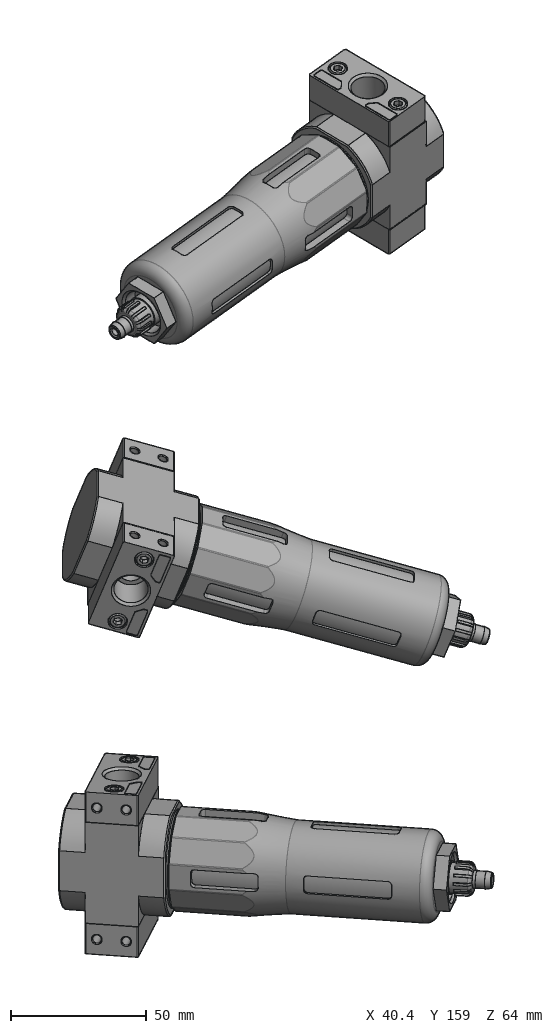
import cadquery as cq
import math


housing_size = 40.0
housing_corner_diameter = 43.0
housing_edge_chamfer = 0.5
bore_diameter = 9.0
collar_diameter = 36.8
collar_length = 0.6
neck_diameter = 34.2
neck_length = 1.3

plate_width = 20.0
plate_thickness = 12.0
plate_length = 40.0
plate_shift = -0.4
plate_edge_chamfer = 0.4
port_diameter = 12.6
port_rim_diameter = 14.5
port_rim_depth = 0.95
mount_hole_diameter = 3.24
mount_hole_rim_diameter = 4.0
mount_hole_depth = 8.0
mount_hole_spacing = 11.0
drill_point_angle = 118.0

label_depth = 0.3
label_inner_x = 6.7
label_slant_top_x = 8.9
label_outer_x = 19.0
label_top_y = -4.6
label_slant_end_y = -7.3
label_bottom_y = -9.0
label_corner_radius = 0.6

screw_spacing = 30.0
screw_head_diameter = 6.5
screw_head_height = 4.0
screw_head_chamfer = 0.5
screw_shank_diameter = 4.0
screw_shank_length = 16.0
screw_socket_width = 3.0
screw_socket_depth = 2.0
counterbore_diameter = 7.1

facet_count = 12
facet_width_across = 37.7
guard_corner_diameter = 38.9
guard_diameter = 34.8
guard_wall = 1.1
guard_top_y = -housing_size / 2 - neck_length
taper_start_y = -48.8
taper_end_y = -64.7
taper_sag = 0.15
guard_bottom_y = -119.1
guard_bottom_radius = 4.2
hex_width = 22.0
hex_height = 5.0
drain_opening_diameter = 17.4
drain_opening_chamfer = 0.9
window_width = 7.0
window_corner_radius = 1.5
upper_window = (-29.3, -54.6)
lower_window = (-71.4, -104.4)
window_count = 4

boss_diameter = 12.6
boss_below_hex = 0.5

knob_core_diameter = 11.6
knob_end_diameter = 9.0
rib_diameter = 13.0
rib_width = 1.0
rib_count = 12
rib_start_y = -125.4
knob_end_y = -132.0
rib_end_radius = 2.2
spigot_collar_diameter = 6.8
spigot_diameter = 6.5
spigot_collar_end_y = -133.1
barb_diameter = 6.8
barb_start_y = -136.6
barb_tip_diameter = 5.8
spigot_end_y = -139.0
barb_tip_chamfer = 0.3
spigot_hole_diameter = 3.0
spigot_hole_rim_diameter = 4.0
spigot_hole_depth = 5.0

half_housing = housing_size / 2
plate_top_z = half_housing + plate_thickness
screw_seat_z = plate_top_z - screw_head_height
screw_end_z = screw_seat_z - screw_shank_length
hex_face_y = guard_bottom_y - hex_height
bowl_bottom_y = guard_bottom_y + guard_wall
bowl_diameter = guard_diameter - 2 * guard_wall
boss_face_y = hex_face_y + boss_below_hex


def y_cylinder(diameter, start_y, end_y):
    """Cylinder on the Y axis from start_y toward -Y to end_y."""
    return cq.Workplane("XZ", origin=(0, start_y, 0)).circle(diameter / 2).extrude(start_y - end_y)


def z_cylinder(diameter, bottom_z, top_z, x=0.0):
    """Upright cylinder centred on y = 0."""
    return cq.Workplane("XY", origin=(x, 0, bottom_z)).circle(diameter / 2).extrude(top_z - bottom_z)


def y_polygon(sides, width, start_y, end_y, turn=0.0):
    """Regular prism on the Y axis, given its width across flats."""
    corner_diameter = width / math.cos(math.pi / sides)
    prism = cq.Workplane("XZ", origin=(0, start_y, 0)).polygon(sides, corner_diameter)
    return prism.extrude(start_y - end_y).rotate((0, 0, 0), (0, 1, 0), turn)


def mirrored_pair(body):
    """The body and its copy on the other side of the XY plane."""
    return [body.val(), body.mirror("XY").val()]


def make_housing():
    body = cq.Workplane("XY").box(housing_size, housing_size, housing_size)
    body = body.intersect(y_cylinder(housing_corner_diameter, half_housing, -half_housing))
    body = body.faces("<Y or >Y").edges().chamfer(housing_edge_chamfer)
    body = body.union(cq.Workplane("XY").box(housing_size, plate_width, housing_size))
    body = body.union(y_cylinder(collar_diameter, -half_housing, -half_housing - collar_length))
    body = body.union(y_cylinder(neck_diameter, -half_housing, guard_top_y))
    body = body.cut(z_cylinder(bore_diameter, -half_housing, half_housing))
    for x in (-screw_spacing / 2, screw_spacing / 2):
        body = body.cut(z_cylinder(screw_shank_diameter, screw_end_z, half_housing, x))
        body = body.cut(z_cylinder(screw_shank_diameter, -half_housing, -screw_end_z, x))
    return body


def make_mount_hole(y):
    """Blind drilled hole with a countersunk rim, entering from the -X end of the plate."""
    radius = mount_hole_diameter / 2
    rim_radius = mount_hole_rim_diameter / 2
    point_length = radius / math.tan(math.radians(drill_point_angle / 2))
    profile = [
        (0, 0),
        (0, rim_radius),
        (rim_radius - radius, radius),
        (mount_hole_depth, radius),
        (mount_hole_depth + point_length, 0),
    ]
    end_x = plate_shift - plate_length / 2
    hole = cq.Workplane("XY").polyline(profile).close().revolve(360, (0, 0, 0), (1, 0, 0))
    return hole.translate((end_x, y, half_housing + plate_thickness / 2))


def make_label_recess():
    """Recess on the +X side: a rectangle with one corner cut at a slant."""
    outline = [
        (label_outer_x, label_top_y),
        (label_slant_top_x, label_top_y),
        (label_inner_x, label_slant_end_y),
        (label_inner_x, label_bottom_y),
        (label_outer_x, label_bottom_y),
    ]
    recess = cq.Workplane("XY", origin=(0, 0, plate_top_z - label_depth)).polyline(outline).close()
    return recess.extrude(label_depth).edges("|Z").fillet(label_corner_radius)


def make_plate():
    plate = cq.Workplane("XY").box(plate_length, plate_width, plate_thickness)
    plate = plate.edges("|Z").chamfer(plate_edge_chamfer)
    plate = plate.translate((plate_shift, 0, half_housing + plate_thickness / 2))
    plate = plate.cut(z_cylinder(port_diameter, half_housing, plate_top_z))
    rim = cq.Solid.makeCone(
        port_diameter / 2,
        port_rim_diameter / 2,
        port_rim_depth,
        pnt=cq.Vector(0, 0, plate_top_z - port_rim_depth),
    )
    plate = plate.cut(cq.Workplane(rim))
    for x in (-screw_spacing / 2, screw_spacing / 2):
        plate = plate.cut(z_cylinder(screw_shank_diameter, half_housing, screw_seat_z, x))
        plate = plate.cut(z_cylinder(counterbore_diameter, screw_seat_z, plate_top_z, x))
    for y in (-mount_hole_spacing / 2, mount_hole_spacing / 2):
        plate = plate.cut(make_mount_hole(y))
    label = make_label_recess()
    return plate.cut(label).cut(label.mirror("YZ"))


def make_screw(x):
    head = z_cylinder(screw_head_diameter, screw_seat_z, plate_top_z, x)
    head = head.faces(">Z").edges().chamfer(screw_head_chamfer)
    screw = head.union(z_cylinder(screw_shank_diameter, screw_end_z, screw_seat_z, x))
    socket_corners = screw_socket_width / math.cos(math.pi / 6)
    socket = cq.Workplane("XY", origin=(x, 0, plate_top_z)).polygon(6, socket_corners)
    socket_floor_z = plate_top_z - screw_socket_depth
    point_radius = screw_socket_width / 2
    point_length = point_radius / math.tan(math.radians(drill_point_angle / 2))
    point = cq.Solid.makeCone(
        point_radius, 0, point_length, pnt=cq.Vector(x, 0, socket_floor_z), dir=cq.Vector(0, 0, -1)
    )
    return screw.cut(socket.extrude(-screw_socket_depth)).cut(cq.Workplane(point))


def rounded_cylinder(diameter, start_y, end_y, end_radius):
    """Cylinder on the Y axis whose -Y end is rounded."""
    return y_cylinder(diameter, start_y, end_y).faces("<Y").edges().fillet(end_radius)


def make_bowl_shell():
    """Round-ended body of the bowl, which fills the guard."""
    end_radius = guard_bottom_radius - guard_wall
    return rounded_cylinder(bowl_diameter, guard_top_y, bowl_bottom_y, end_radius)


def make_window(span, angle):
    """Radial slot with rounded corners through one side of the guard."""
    start_y, end_y = span
    window = cq.Workplane("XY").box(window_width, start_y - end_y, guard_corner_diameter / 2)
    window = window.edges("|Z").fillet(window_corner_radius)
    window = window.translate((0, (start_y + end_y) / 2, guard_corner_diameter / 4))
    return window.rotate((0, 0, 0), (0, 1, 0), angle)


def make_guard():
    corner_radius = guard_corner_diameter / 2
    radius = guard_diameter / 2
    taper_middle = ((corner_radius + radius) / 2 - taper_sag, (taper_start_y + taper_end_y) / 2)
    arc_middle = guard_bottom_radius * math.sqrt(0.5)
    arc_center_x = radius - guard_bottom_radius
    arc_center_y = guard_bottom_y + guard_bottom_radius
    guard = (
        cq.Workplane("XY")
        .moveTo(0, guard_top_y)
        .lineTo(corner_radius, guard_top_y)
        .lineTo(corner_radius, taper_start_y)
        .threePointArc(taper_middle, (radius, taper_end_y))
        .lineTo(radius, arc_center_y)
        .threePointArc(
            (arc_center_x + arc_middle, arc_center_y - arc_middle), (arc_center_x, guard_bottom_y)
        )
        .lineTo(0, guard_bottom_y)
        .close()
        .revolve(360, (0, 0, 0), (0, 1, 0))
    )
    half_facet_angle = 180.0 / facet_count
    guard = guard.intersect(
        y_polygon(facet_count, facet_width_across, guard_top_y, guard_bottom_y, half_facet_angle)
    )
    guard = guard.union(y_polygon(6, hex_width, guard_bottom_y, hex_face_y))
    guard = guard.cut(make_bowl_shell())
    guard = guard.cut(y_cylinder(drain_opening_diameter, bowl_bottom_y, hex_face_y))
    opening_radius = drain_opening_diameter / 2
    rim = cq.Solid.makeCone(
        opening_radius + drain_opening_chamfer,
        opening_radius,
        drain_opening_chamfer,
        pnt=cq.Vector(0, hex_face_y, 0),
        dir=cq.Vector(0, 1, 0),
    )
    guard = guard.cut(cq.Workplane(rim))
    for index in range(window_count):
        angle = index * 360.0 / window_count
        for span in (upper_window, lower_window):
            guard = guard.cut(make_window(span, angle))
    return guard


def make_bowl():
    return make_bowl_shell().union(y_cylinder(boss_diameter, bowl_bottom_y, boss_face_y))


def make_ribs():
    """Grip ribs spaced evenly around the knob, following its rounded end."""
    length = rib_start_y - knob_end_y
    blades = None
    for index in range(rib_count // 2):
        blade = cq.Workplane("XY").box(rib_diameter, length, rib_width)
        blade = blade.translate((0, (rib_start_y + knob_end_y) / 2, 0))
        blade = blade.rotate((0, 0, 0), (0, 1, 0), index * 360.0 / rib_count)
        blades = blade if blades is None else blades.union(blade)
    return blades.intersect(rounded_cylinder(rib_diameter, rib_start_y, knob_end_y, rib_end_radius))


def make_drain():
    core_end_radius = (knob_core_diameter - knob_end_diameter) / 2
    drain = rounded_cylinder(knob_core_diameter, boss_face_y, knob_end_y, core_end_radius)
    drain = drain.union(make_ribs())
    drain = drain.union(y_cylinder(spigot_collar_diameter, knob_end_y, spigot_collar_end_y))
    drain = drain.union(y_cylinder(spigot_diameter, spigot_collar_end_y, barb_start_y))
    barb = cq.Solid.makeCone(
        barb_diameter / 2,
        barb_tip_diameter / 2,
        barb_start_y - spigot_end_y,
        pnt=cq.Vector(0, barb_start_y, 0),
        dir=cq.Vector(0, -1, 0),
    )
    drain = drain.union(cq.Workplane(barb))
    drain = drain.faces("<Y").edges().chamfer(barb_tip_chamfer)
    drain = drain.cut(y_cylinder(spigot_hole_diameter, spigot_end_y + spigot_hole_depth, spigot_end_y))
    rim_depth = (spigot_hole_rim_diameter - spigot_hole_diameter) / 2
    rim = cq.Solid.makeCone(
        spigot_hole_rim_diameter / 2,
        spigot_hole_diameter / 2,
        rim_depth,
        pnt=cq.Vector(0, spigot_end_y, 0),
        dir=cq.Vector(0, 1, 0),
    )
    return drain.cut(cq.Workplane(rim))


housing = make_housing()
plates = mirrored_pair(make_plate())
screws = []
for screw_x in (-screw_spacing / 2, screw_spacing / 2):
    screws.extend(mirrored_pair(make_screw(screw_x)))
guard = make_guard()
bowl = make_bowl()
drain = make_drain()

result = cq.Compound.makeCompound(
    [housing.val(), *plates, *screws, guard.val(), bowl.val(), drain.val()]
)